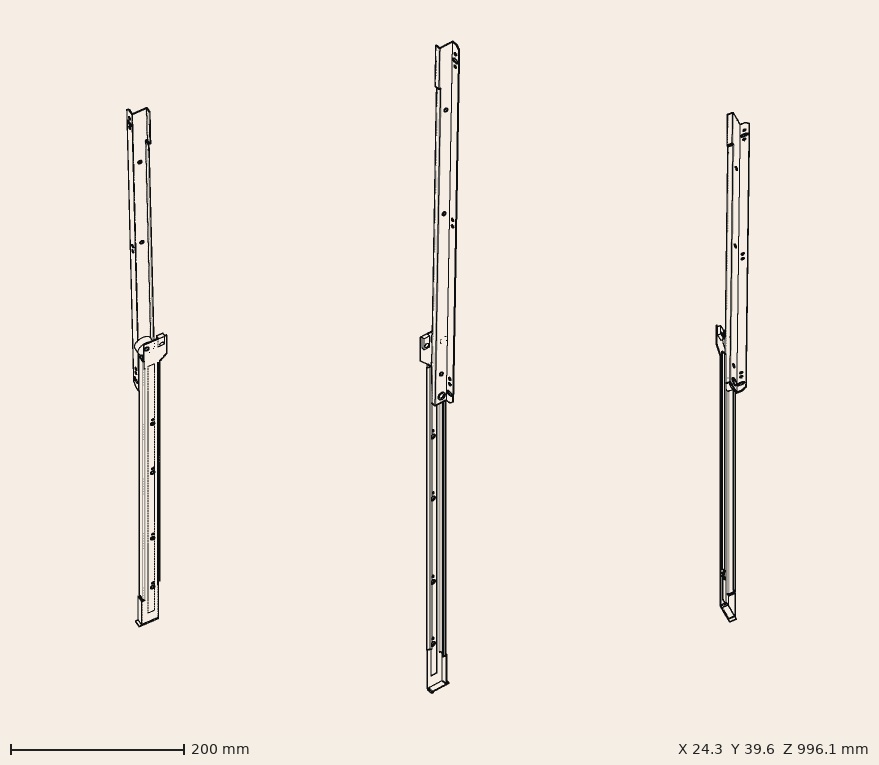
import cadquery as cq
import math


TOTAL_LENGTH = 996.06
TOTAL_DEPTH = 39.57
TOTAL_WIDTH = 24.3
RAIL_LENGTH = 549.5
TILT = 0.95
FIT = 0.1

SHEET = 1.2
FLANGE_SHEET = 1.5
DRAWER_WEB_X = 12.7
TRACK_X = 19.0
TRACK_ROUND = 1.0
DRAWER_HEIGHT = 18.3
RAISED_HEIGHT = 20.5
RAISED_LENGTH = 63.0
SQUARE_TRACK_START = 25.0
SQUARE_TRACK_END = 74.0
FLANGE_CHAMFER = 5.0
FLANGE_HOLE_X = 6.0
FLANGE_SLOT_LENGTH = 9.0
FLANGE_SLOT_WIDTH = 5.4
FLANGE_HOLE = 4.0
FLANGE_SLOT_PLACES = [25.2, 535.2]
FLANGE_HOLE_PLACES = [15.0, 34.0, 269.0, 279.0, 513.0, 521.0]
WEB_HOLE = 5.0
WEB_HOLE_PLACES = [100.5, 259.5, 505.5]

CABINET_LIP_X = 13.9
CABINET_LIP_HEIGHT = 4.3
FLOOR_START = 34.0
FLOOR_BEND = 2.2
WING_START = 47.0
WING_END = 484.0
WING_FLANGE_Y = 8.0
WING_X = 16.8
WING_TOP_Y = 13.4
WING_LEAN = 18.6
WEB_TOP_Y = WING_FLANGE_Y + SHEET
PLATE_TAPER_START = 36.0
BOSS_X = 19.2
BOSS_LENGTH = 17.0
BOSS_TOP_Y = 17.5
PLATE_HOLE_Y = 13.5
PLATE_HOLE_DEPTH = 12.5
PLATE_HOLE = 5.4
BEAD_BOTTOM_Y = -4.0
BEAD_TOP_Y = 4.5
BEAD_HEIGHT = 0.6
BEAD_END_GAP = 18.0
MOUNT_HOLE_Y = 1.5
MOUNT_HOLE = 5.4
MOUNT_SINK = 6.6
MOUNT_SMALL_HOLE = 3.0
MOUNT_SMALL_HOLE_OFFSET = 8.5
MOUNT_HOLE_PLACES = [162.5, 258.5, 387.5, 483.5]
RAMP_LENGTH = 47.0
RAMP_BOTTOM_Y = -13.0
END_WALL_FOOT_Y = -16.5
END_WALL_X = 15.5
END_PRONG_LENGTH = 1.5
END_PRONG_WIDTH = 2.5

FRONT_ROLLER_RADIUS = 11.0
FRONT_ROLLER_X = (14.2, 22.8)
FRONT_ROLLER_PLACE = 455.5
REAR_ROLLER_RADIUS = 7.9
REAR_ROLLER_X = (15.4, 21.9)
REAR_ROLLER_PLACE = 538.5
RIVET_RADIUS = 3.0
RIVET_HEAD_RADIUS = 5.0
RIVET_HEAD = 1.2

SIN_TILT = math.sin(math.radians(TILT))
COS_TILT = math.cos(math.radians(TILT))
DRAWER_ORIGIN_Y = -TOTAL_DEPTH / 2
DRAWER_ORIGIN_Z = TOTAL_LENGTH / 2 - RAISED_HEIGHT * SIN_TILT
CABINET_REAR_Z = -TOTAL_LENGTH / 2 + END_PRONG_LENGTH
CABINET_FRONT_Z = CABINET_REAR_Z + RAIL_LENGTH
CABINET_WEB_X = TOTAL_WIDTH - SHEET
TRACK_UNDERSIDE = DRAWER_HEIGHT - SHEET


def drawer_to_world(y, place):
    """World (Y, Z) of a drawer-rail point at height y, a given distance from the rail's front."""
    return (
        DRAWER_ORIGIN_Y + y * COS_TILT + place * SIN_TILT,
        DRAWER_ORIGIN_Z + y * SIN_TILT - place * COS_TILT,
    )


FRONT_AXLE = drawer_to_world(TRACK_UNDERSIDE - FRONT_ROLLER_RADIUS - FIT, FRONT_ROLLER_PLACE)
REAR_AXLE = drawer_to_world(TRACK_UNDERSIDE - REAR_ROLLER_RADIUS - FIT, REAR_ROLLER_PLACE)
FLOOR_Y = REAR_AXLE[0] - REAR_ROLLER_RADIUS - FIT
CABINET_BOTTOM_Y = FLOOR_Y - SHEET


def box(x, y, z):
    """Box from its (low, high) limits on each axis."""
    size = [high - low for low, high in (x, y, z)]
    return cq.Workplane("XY").box(*size, centered=False).translate((x[0], y[0], z[0]))


def x_cylinder(radius, x, centre):
    """Cylinder along X between two X limits, centred on a (Y, Z) point."""
    shape = cq.Workplane("YZ").circle(radius).extrude(x[1] - x[0])
    return shape.translate((x[0], *centre))


def x_prism(points, x):
    """Prism along X over an outline of (Y, Z) points."""
    return cq.Workplane("YZ").polyline(points).close().extrude(x[1] - x[0]).translate((x[0], 0, 0))


def drawer_stretch(start, end, height, rounded):
    """Stretch of drawer rail: bottom flange, web and roller track on top."""
    face_x = DRAWER_WEB_X - SHEET
    underside = height - SHEET
    outline = (
        cq.Workplane("XY", origin=(0, 0, -end))
        .moveTo(0, 0)
        .lineTo(DRAWER_WEB_X, 0)
        .lineTo(DRAWER_WEB_X, underside)
    )
    if rounded:
        outline = outline.lineTo(TRACK_X - TRACK_ROUND, underside).radiusArc(
            (TRACK_X, underside + TRACK_ROUND), -TRACK_ROUND
        )
    else:
        outline = outline.lineTo(TRACK_X, underside)
    outline = (
        outline.lineTo(TRACK_X, height)
        .lineTo(DRAWER_WEB_X, height)
        .radiusArc((face_x, underside), -SHEET)
        .lineTo(face_x, FLANGE_SHEET)
        .lineTo(0, FLANGE_SHEET)
        .close()
    )
    return outline.extrude(end - start)


def make_drawer_rail():
    rail = drawer_stretch(0, SQUARE_TRACK_START, RAISED_HEIGHT, True)
    stretches = [
        (SQUARE_TRACK_START, RAISED_LENGTH, RAISED_HEIGHT, False),
        (RAISED_LENGTH, SQUARE_TRACK_END, DRAWER_HEIGHT, False),
        (SQUARE_TRACK_END, RAIL_LENGTH, DRAWER_HEIGHT, True),
    ]
    for stretch in stretches:
        rail = rail.union(drawer_stretch(*stretch))
    rail = rail.edges("|Y and <X").chamfer(FLANGE_CHAMFER)

    slots = cq.Workplane("XZ").pushPoints([(FLANGE_HOLE_X, -place) for place in FLANGE_SLOT_PLACES])
    rail = rail.cut(slots.slot2D(FLANGE_SLOT_LENGTH, FLANGE_SLOT_WIDTH).extrude(-FLANGE_SHEET))
    holes = cq.Workplane("XZ").pushPoints([(FLANGE_HOLE_X, -place) for place in FLANGE_HOLE_PLACES])
    rail = rail.cut(holes.circle(FLANGE_HOLE / 2).extrude(-FLANGE_SHEET))
    for place in WEB_HOLE_PLACES:
        centre = (DRAWER_HEIGHT / 2, -place)
        rail = rail.cut(x_cylinder(WEB_HOLE / 2, (DRAWER_WEB_X - SHEET, DRAWER_WEB_X), centre))

    rail = rail.rotate((0, 0, 0), (1, 0, 0), TILT).translate((0, DRAWER_ORIGIN_Y, DRAWER_ORIGIN_Z))
    return rail.cut(x_cylinder(RIVET_RADIUS, (0, TRACK_X), REAR_AXLE))


def make_front_plate():
    """Plate above the rail's front end, tapering back to the web, with a bored boss."""
    front = CABINET_FRONT_Z
    top = TOTAL_DEPTH / 2
    outline = [
        (FLOOR_Y, front),
        (top, front),
        (top, front - PLATE_TAPER_START),
        (WEB_TOP_Y, front - WING_START),
        (FLOOR_Y, front - WING_START),
    ]
    plate = x_prism(outline, (CABINET_WEB_X, TOTAL_WIDTH))
    boss = box((BOSS_X, TOTAL_WIDTH), (WEB_TOP_Y, BOSS_TOP_Y), (front - BOSS_LENGTH, front))
    hole_centre = (PLATE_HOLE_Y, front - PLATE_HOLE_DEPTH)
    return plate.union(boss).cut(x_cylinder(PLATE_HOLE / 2, (BOSS_X, TOTAL_WIDTH), hole_centre))


def make_wing():
    """Upper flange with a wing that leans back towards the web plane."""
    lean = math.tan(math.radians(WING_LEAN))
    wing_end_x = WING_X + (WING_TOP_Y - WING_FLANGE_Y) * lean
    outline = [
        (TOTAL_WIDTH, WING_FLANGE_Y),
        (WING_X, WING_FLANGE_Y),
        (wing_end_x, WING_TOP_Y),
        (wing_end_x + SHEET, WING_TOP_Y),
        (WING_X + SHEET * (1 + lean), WEB_TOP_Y),
        (TOTAL_WIDTH, WEB_TOP_Y),
    ]
    wing = cq.Workplane("XY").polyline(outline).close().extrude(WING_END - WING_START)
    return wing.translate((0, 0, CABINET_FRONT_Z - WING_END))


def make_rear_end():
    """Deeper rear ramp and the end wall with its foot and prong."""
    rear = CABINET_REAR_Z
    ramp_z = (rear, rear + RAMP_LENGTH)
    web = box((CABINET_WEB_X, TOTAL_WIDTH), (RAMP_BOTTOM_Y, WEB_TOP_Y), ramp_z)
    floor = box((CABINET_LIP_X + SHEET, TOTAL_WIDTH), (RAMP_BOTTOM_Y, RAMP_BOTTOM_Y + SHEET), ramp_z)
    wall_z = (rear, rear + SHEET)
    wall = box((END_WALL_X, TOTAL_WIDTH), (END_WALL_FOOT_Y, WEB_TOP_Y), wall_z)
    prong_y = (WEB_TOP_Y - END_PRONG_WIDTH, WEB_TOP_Y)
    prong = box((END_WALL_X, CABINET_WEB_X), prong_y, (rear - END_PRONG_LENGTH, rear))
    return web.union(floor).union(wall).union(prong)


def cut_mount_holes(rail):
    """Countersunk screw holes in the web, each with a small hole in front of it."""
    bead_x = CABINET_WEB_X - BEAD_HEIGHT
    sink_depth = (MOUNT_SINK - MOUNT_HOLE) / 2
    for place in MOUNT_HOLE_PLACES:
        z = CABINET_FRONT_Z - place
        screw = (
            cq.Workplane("YZ", origin=(bead_x, MOUNT_HOLE_Y, z))
            .circle(MOUNT_SINK / 2)
            .workplane(offset=sink_depth)
            .circle(MOUNT_HOLE / 2)
            .loft()
        )
        rail = rail.cut(screw)
        through = (bead_x, TOTAL_WIDTH)
        rail = rail.cut(x_cylinder(MOUNT_HOLE / 2, through, (MOUNT_HOLE_Y, z)))
        small_centre = (MOUNT_HOLE_Y, z + MOUNT_SMALL_HOLE_OFFSET)
        rail = rail.cut(x_cylinder(MOUNT_SMALL_HOLE / 2, through, small_centre))
    return rail


def make_channel(low_z, high_z):
    """Lip, floor and the bend that carries the floor up into the web."""
    bend_y = CABINET_BOTTOM_Y + FLOOR_BEND
    bend_x = TOTAL_WIDTH - FLOOR_BEND
    lip_top = CABINET_BOTTOM_Y + CABINET_LIP_HEIGHT
    outline = (
        cq.Workplane("XY", origin=(0, 0, low_z))
        .moveTo(CABINET_LIP_X, CABINET_BOTTOM_Y)
        .lineTo(bend_x, CABINET_BOTTOM_Y)
        .radiusArc((TOTAL_WIDTH, bend_y), -FLOOR_BEND)
        .lineTo(TOTAL_WIDTH, lip_top)
        .lineTo(CABINET_WEB_X, lip_top)
        .lineTo(CABINET_WEB_X, bend_y)
        .radiusArc((bend_x, FLOOR_Y), FLOOR_BEND - SHEET)
        .lineTo(CABINET_LIP_X + SHEET, FLOOR_Y)
        .lineTo(CABINET_LIP_X + SHEET, lip_top)
        .lineTo(CABINET_LIP_X, lip_top)
        .close()
    )
    return outline.extrude(high_z - low_z)


def make_cabinet_rail():
    front, rear = CABINET_FRONT_Z, CABINET_REAR_Z
    ramp_z = rear + RAMP_LENGTH
    web_y = (CABINET_BOTTOM_Y + FLOOR_BEND, WEB_TOP_Y)
    web = box((CABINET_WEB_X, TOTAL_WIDTH), web_y, (rear, front))
    channel = make_channel(ramp_z, front - FLOOR_START)
    bead_x = (CABINET_WEB_X - BEAD_HEIGHT, CABINET_WEB_X)
    bead = box(bead_x, (BEAD_BOTTOM_Y, BEAD_TOP_Y), (rear + BEAD_END_GAP, front - WING_START))

    rail = web.union(channel).union(bead)
    rail = rail.union(make_front_plate()).union(make_wing()).union(make_rear_end())
    rail = cut_mount_holes(rail)
    return rail.cut(x_cylinder(RIVET_RADIUS, (CABINET_WEB_X, TOTAL_WIDTH), FRONT_AXLE))


def make_roller(radius, x, axle):
    return x_cylinder(radius, x, axle).cut(x_cylinder(RIVET_RADIUS, x, axle))


def make_rivet(shank_x, head_x, axle):
    return x_cylinder(RIVET_RADIUS, shank_x, axle).union(x_cylinder(RIVET_HEAD_RADIUS, head_x, axle))


front_roller = make_roller(FRONT_ROLLER_RADIUS, FRONT_ROLLER_X, FRONT_AXLE)
rear_roller = make_roller(REAR_ROLLER_RADIUS, REAR_ROLLER_X, REAR_AXLE)

front_head_x = (FRONT_ROLLER_X[0] - RIVET_HEAD, FRONT_ROLLER_X[0])
front_rivet = make_rivet((front_head_x[0], TOTAL_WIDTH), front_head_x, FRONT_AXLE)

drawer_web_face_x = DRAWER_WEB_X - SHEET
rear_head_x = (drawer_web_face_x - RIVET_HEAD, drawer_web_face_x)
rear_rivet = make_rivet((rear_head_x[0], REAR_ROLLER_X[1]), rear_head_x, REAR_AXLE)

drawer_rail = make_drawer_rail()
cabinet_rail = make_cabinet_rail()

bodies = [drawer_rail, cabinet_rail, front_roller, rear_roller, front_rivet, rear_rivet]
result = cq.Compound.makeCompound([body.val() for body in bodies])